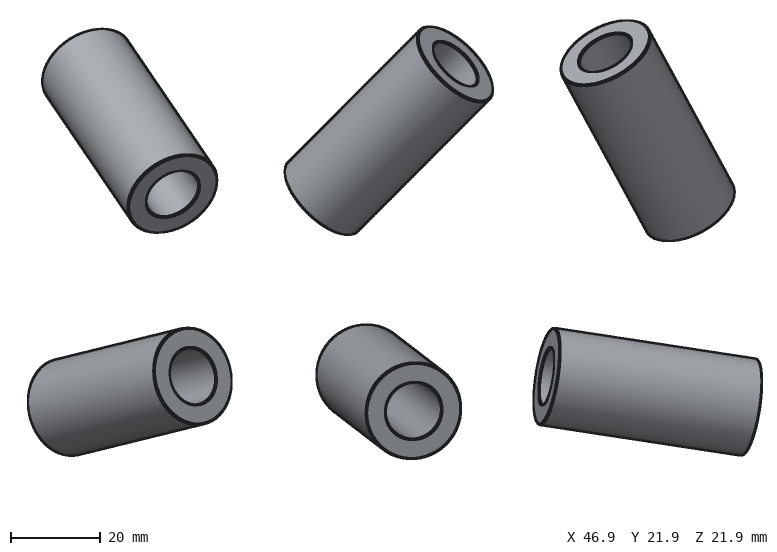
import cadquery as cq

length = 46.9
outer_diameter = 21.9
bore_diameter = 12.6
edge_chamfer = 0.3

sleeve = (
    cq.Workplane("YZ", origin=(-length / 2, 0, 0))
    .circle(outer_diameter / 2)
    .circle(bore_diameter / 2)
    .extrude(length)
)

result = sleeve.faces("<X or >X").edges().chamfer(edge_chamfer)